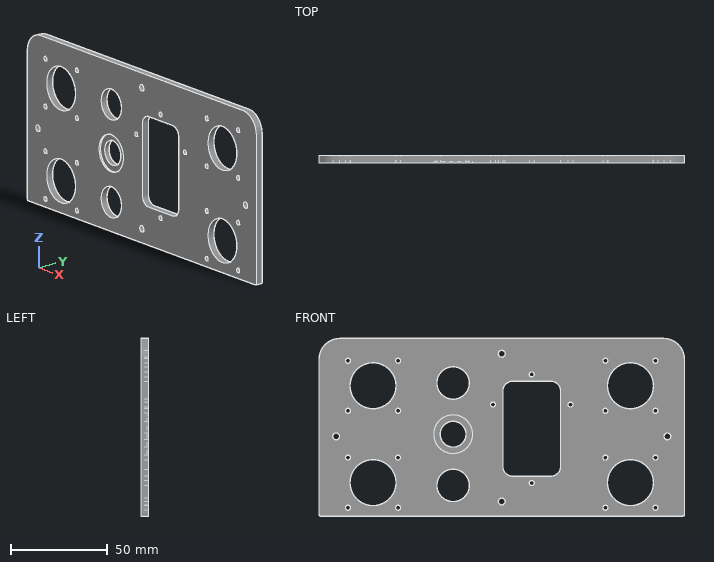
import cadquery as cq

length = 189.0
thickness = 4.0
height = 92.0
top_corner_radius = 11.0
bottom_corner_radius = 1.0

socket_spacing_x = 133.0
socket_spacing_z = 50.0
socket_center_z = -3.5
socket_diameter = 23.6
socket_screw_pitch = 25.9
small_screw_diameter = 2.5

column_x = -25.1
column_center_z = -3.5
column_pitch = 26.5
column_diameter = 16.6
middle_diameter = 13.2
counterbore_diameter = 20.0
counterbore_depth = 1.0

window_x = 15.5
window_z = -0.8
window_width = 29.7
window_height = 49.0
window_corner_radius = 5.0
window_screw_spacing_x = 40.0
window_screw_spacing_z = 56.1
window_side_screw_z = 11.7

mount_diameter = 3.4
mount_spacing_x = 171.2
mount_side_z = -4.7
mount_spacing_z = 76.4
mount_center_z = -0.2


def grid(center_x, center_z, spacing_x, spacing_z):
    """Four corner points of a rectangle on the front face."""
    return [
        (center_x + side_x * spacing_x / 2, center_z + side_z * spacing_z / 2)
        for side_x in (-1, 1)
        for side_z in (-1, 1)
    ]


def pins(points, diameter, depth=thickness):
    """Cylinders reaching from the front face into the plate."""
    return front_plane().pushPoints(points).circle(diameter / 2).extrude(-depth)


def front_plane():
    """Sketch plane on the front face: X right, Z up, normal toward -Y."""
    return cq.Workplane("XZ", origin=(0, -thickness / 2, 0))


def make_plate():
    plate = cq.Workplane("XY").box(length, thickness, height)
    plate = plate.edges("|Y and >Z").fillet(top_corner_radius)
    return plate.edges("|Y and <Z").fillet(bottom_corner_radius)


def cut_sockets(plate):
    centers = grid(0, socket_center_z, socket_spacing_x, socket_spacing_z)
    plate = plate.cut(pins(centers, socket_diameter))
    for x, z in centers:
        screws = grid(x, z, socket_screw_pitch, socket_screw_pitch)
        plate = plate.cut(pins(screws, small_screw_diameter))
    return plate


def cut_column(plate):
    outer = [(column_x, column_center_z + side * column_pitch) for side in (-1, 1)]
    middle = [(column_x, column_center_z)]
    plate = plate.cut(pins(outer, column_diameter))
    plate = plate.cut(pins(middle, middle_diameter))
    return plate.cut(pins(middle, counterbore_diameter, counterbore_depth))


def cut_window(plate):
    window = (
        front_plane()
        .center(window_x, window_z)
        .rect(window_width, window_height)
        .extrude(-thickness)
        .edges("|Y")
        .fillet(window_corner_radius)
    )
    screws = []
    for side in (-1, 1):
        screws.append((window_x + side * window_screw_spacing_x / 2, window_side_screw_z))
        screws.append((window_x, window_z + side * window_screw_spacing_z / 2))
    return plate.cut(window).cut(pins(screws, small_screw_diameter))


def cut_mounting_holes(plate):
    holes = []
    for side in (-1, 1):
        holes.append((side * mount_spacing_x / 2, mount_side_z))
        holes.append((0, mount_center_z + side * mount_spacing_z / 2))
    return plate.cut(pins(holes, mount_diameter))


result = make_plate()
result = cut_sockets(result)
result = cut_column(result)
result = cut_window(result)
result = cut_mounting_holes(result)